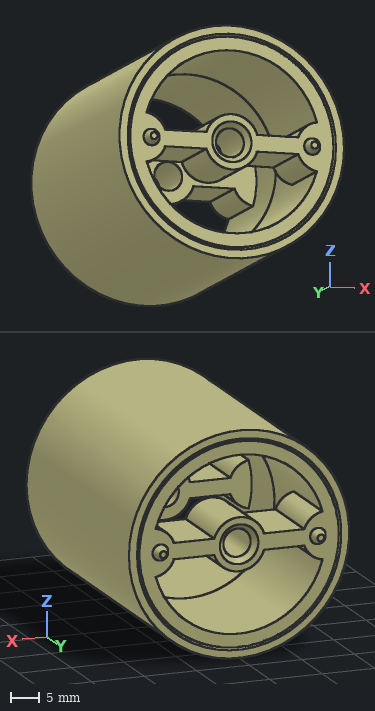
import cadquery as cq

OVERALL_LENGTH = 53.0
PIN_HEIGHT = 1.5
SLEEVE_LENGTH = OVERALL_LENGTH - 2 * PIN_HEIGHT

SLEEVE_RADIUS = 21.0
SLEEVE_BORE_RADIUS = 19.0
SLEEVE_CHAMFER = 0.5

PLUG_LENGTH = SLEEVE_LENGTH / 2
RIM_INNER_RADIUS = 16.5
WEB_THICKNESS = 3.0
WEB_LENGTH = 14.0

HUB_RADIUS = 5.0
BORE_RADIUS = 2.6
COUNTERSINK_SIZE = 1.05

BOSS_OFFSET = 16.65
BOSS_RADIUS = 4.5
PIN_OFFSET = 15.0
PIN_BASE_RADIUS = 1.5
PIN_TIP_RADIUS = 0.65


def disc(radius, length, x=0):
    """Cylinder running from Y = 0 to Y = length, with its axis at the given X."""
    return cq.Workplane("XZ").center(x, 0).circle(radius).extrude(-length)


def make_sleeve():
    """Plain tube, chamfered inside at both ends."""
    tube = disc(SLEEVE_RADIUS, SLEEVE_LENGTH).cut(disc(SLEEVE_BORE_RADIUS, SLEEVE_LENGTH))
    bore_edges = cq.selectors.RadiusNthSelector(0)
    tube = tube.edges(bore_edges).chamfer(SLEEVE_CHAMFER)
    return tube.translate((0, -SLEEVE_LENGTH / 2, 0))


def make_pin(x):
    """Locating pin standing on the outer face (Y = 0) and tapering towards -Y."""
    base = cq.Workplane("XZ").center(x, 0).circle(PIN_BASE_RADIUS)
    return base.workplane(offset=PIN_HEIGHT).circle(PIN_TIP_RADIUS).loft()


def make_plug():
    """Plug with its outer face at Y = 0, reaching towards +Y."""
    rim = disc(SLEEVE_BORE_RADIUS, PLUG_LENGTH).cut(disc(RIM_INNER_RADIUS, PLUG_LENGTH))

    spokes = cq.Workplane("XZ").rect(2 * BOSS_OFFSET, WEB_THICKNESS).extrude(-WEB_LENGTH)
    for side in (-1, 1):
        spokes = spokes.union(disc(BOSS_RADIUS, WEB_LENGTH, side * BOSS_OFFSET))
    spokes = spokes.intersect(disc(SLEEVE_BORE_RADIUS, WEB_LENGTH))

    plug = rim.union(spokes).union(disc(HUB_RADIUS, WEB_LENGTH))
    plug = plug.cut(disc(BORE_RADIUS, WEB_LENGTH))
    bore_edge = cq.selectors.RadiusNthSelector(0)
    plug = plug.faces("<Y").edges(bore_edge).chamfer(COUNTERSINK_SIZE)

    for side in (-1, 1):
        plug = plug.union(make_pin(side * PIN_OFFSET))
    return plug


sleeve = make_sleeve()

plugs = []
for turn in (0, 180):
    plug = make_plug().translate((0, -SLEEVE_LENGTH / 2, 0))
    plugs.append(plug.rotate((0, 0, 0), (0, 0, 1), turn))

result = cq.Compound.makeCompound([sleeve.val(), *[plug.val() for plug in plugs]])